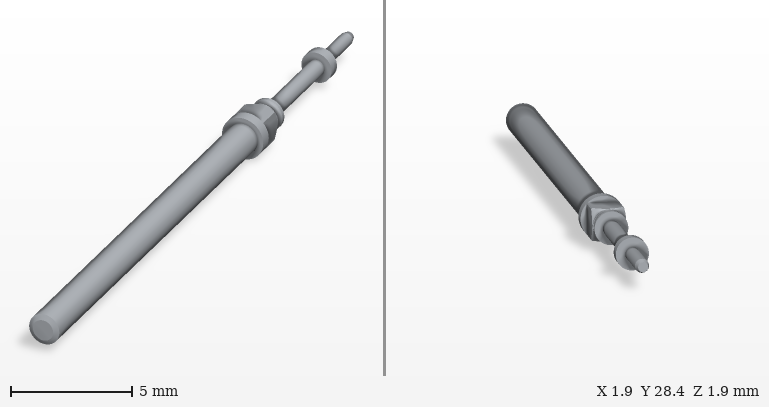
import cadquery as cq

LENGTH = 28.4

BARREL_DIAMETER = 1.4
BARREL_END_DIAMETER = 0.95
BARREL_END_CHAMFER = 0.1

RING_DIAMETER = 1.9
RING_START = 18.52
RING_WIDTH = 0.5
SQUARE_SIDE = 1.4
SQUARE_LENGTH = 1.42
SQUARE_TAPER = 0.28
RIM_DIAMETER = 1.35
RIM_WIDTH = 0.09

NECK_DIAMETER = 1.3
NECK_LENGTH = 0.2
GROOVE_DIAMETER = 1.15
COLLAR_DIAMETER = 1.42
COLLAR_TAPER = 0.15
COLLAR_WIDTH = 0.17

SHAFT_DIAMETER = 0.75
SHAFT_RELIEF_DIAMETER = 0.7
SHAFT_RELIEF_LENGTH = 0.4
STOP_DIAMETER = 1.4
STOP_WIDTH = 0.5
PIN_DIAMETER = 0.6
PIN_LENGTH = 2.53
TIP_DIAMETER = 0.43
TIP_CHAMFER = 0.28

ring_end = RING_START + RING_WIDTH
square_end = ring_end + SQUARE_LENGTH
rim_start = square_end - RIM_WIDTH
groove_y = square_end + NECK_LENGTH
collar_start = groove_y + COLLAR_TAPER
collar_end = collar_start + COLLAR_WIDTH
relief_end = collar_end + SHAFT_RELIEF_LENGTH
stop_end = LENGTH - PIN_LENGTH
stop_start = stop_end - STOP_WIDTH


def turned_body():
    """Revolve the stepped (radius, Y) outline about the Y axis."""
    outline = [
        (0, 0),
        (BARREL_END_DIAMETER / 2, 0),
        (BARREL_DIAMETER / 2, BARREL_END_CHAMFER),
        (BARREL_DIAMETER / 2, RING_START),
        (RING_DIAMETER / 2, RING_START),
        (RING_DIAMETER / 2, rim_start - SQUARE_TAPER),
        (RIM_DIAMETER / 2, rim_start),
        (RIM_DIAMETER / 2, square_end),
        (NECK_DIAMETER / 2, square_end),
        (GROOVE_DIAMETER / 2, groove_y),
        (COLLAR_DIAMETER / 2, collar_start),
        (COLLAR_DIAMETER / 2, collar_end),
        (SHAFT_RELIEF_DIAMETER / 2, collar_end),
        (SHAFT_RELIEF_DIAMETER / 2, relief_end),
        (SHAFT_DIAMETER / 2, relief_end),
        (SHAFT_DIAMETER / 2, stop_start),
        (STOP_DIAMETER / 2, stop_start),
        (STOP_DIAMETER / 2, stop_end),
        (PIN_DIAMETER / 2, stop_end),
        (PIN_DIAMETER / 2, LENGTH - TIP_CHAMFER),
        (TIP_DIAMETER / 2, LENGTH),
        (0, LENGTH),
    ]
    return cq.Workplane("XY").polyline(outline).close().revolve(360, (0, 0, 0), (0, 1, 0))


def square_cutter():
    """Square-holed disc that trims the four flats between the ring and the neck."""
    return (
        cq.Workplane("XZ", origin=(0, ring_end, 0))
        .circle(RING_DIAMETER)
        .rect(SQUARE_SIDE, SQUARE_SIDE)
        .extrude(-SQUARE_LENGTH)
    )


result = turned_body().cut(square_cutter())